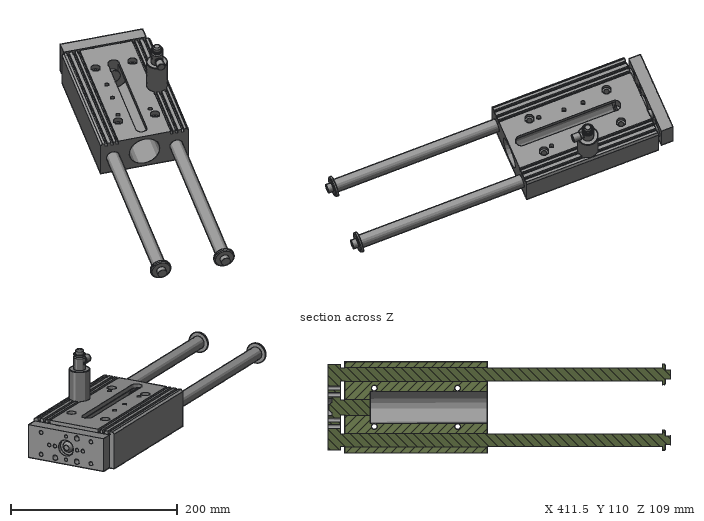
import cadquery as cq

PLATE_LENGTH = 15.2
GAP = 5.0
HOUSING_START = PLATE_LENGTH + GAP
HOUSING_LENGTH = 171.0
HOUSING_END = HOUSING_START + HOUSING_LENGTH
HOUSING_WIDTH = 110.0
HOUSING_HEIGHT = 47.0
HOUSING_CHAMFER = 2.5
AXIS_Z = HOUSING_HEIGHT / 2

GROOVE_YS = (34.0, 40.5, 47.7)
GROOVE_WIDTH = 3.0
GROOVE_DEPTH = 4.0

BORE_DIAMETER = 38.0
BORE_START = 51.0
SLOT_START = 47.5
SLOT_END = 182.7
SLOT_WIDTH = 13.5

MOUNT_CENTER_X = 105.8
MOUNT_SPACING_X = 100.0
MOUNT_SPACING_Y = 46.0
MOUNT_DIAMETER = 6.5
MOUNT_BORE_DIAMETER = 11.0
MOUNT_BORE_DEPTH = 6.0

TOP_HOLES = ((88.5, -18.0), (113.0, -18.0), (145.0, -20.0), (145.0, 20.0))
TOP_HOLE_DIAMETER = 5.0
TOP_HOLE_DEPTH = 8.2

LOCK_X = 105.8
LOCK_Y = 39.5
LOCK_BOTTOM_Z = HOUSING_HEIGHT - GROOVE_DEPTH
BARREL_DIAMETER = 25.0
BARREL_TOP_DIAMETER = 24.0
BARREL_TOP_Z = 84.5
NECK_DIAMETER = 14.5
NECK_TOP_Z = 100.5
NECK_CHAMFER = 1.2
KNOB_GROOVE_DIAMETER = 11.5
LIP_BOTTOM_Z = 103.0
LIP_THICKNESS = 0.5
CAP_DIAMETER = 10.0
CAP_TOP_DIAMETER = 6.5
CAP_TAPER_HEIGHT = 1.5
LOCK_TOP_Z = 109.0

PORT_Z = 92.0
PORT_STEM_DIAMETER = 8.0
PORT_DIAMETER = 10.0
PORT_START = 115.5
PORT_END = 125.5
PORT_CHAMFER = 0.6
SET_HOLE_DIAMETER = 3.5
SET_HOLE_DEPTH = 1.0

PLATE_WIDTH = 103.0
PLATE_BOTTOM_Z = 2.5
PLATE_HEIGHT = 42.0
GUIDE_DIAMETER = 16.0
GUIDE_Y = 39.5
PISTON_DIAMETER = 18.5
STOP_DIAMETER = 11.0
STOP_Y = 22.2
STOP_Z = 36.5

OVERALL_LENGTH = 411.5
DISC_START = 401.5
DISC_THICKNESS = 3.5
DISC_DIAMETER = 25.0
DISC_CHAMFER = 1.2
STUB_DIAMETER = 11.0

CORNER_HOLE_Y = 34.0
CORNER_HOLE_Z = 14.0
CORNER_HOLE_DIAMETER = 5.0
VERTICAL_HOLE_Z = 15.0
ROW_HOLE_YS = (15.2, 23.0)
SMALL_HOLE_DIAMETER = 4.0
ROW_HOLE_DIAMETER = 4.5
DOWEL_OFFSET = 15.0
DOWEL_DIAMETER = 6.5

RECESS_DIAMETER = 20.0
RECESS_DEPTH = 5.0
NOSE_DIAMETER = 13.5
NOSE_TIP_DIAMETER = 6.5
NOSE_LENGTH = 3.5


def rod_x(x_start, x_end, diameter, y=0.0, z=AXIS_Z):
    """Cylinder along X between two X positions."""
    return cq.Workplane("YZ", origin=(x_start, y, z)).circle(diameter / 2).extrude(x_end - x_start)


def hole_down(x, y, diameter, depth):
    """Cylinder that goes down from the housing top face."""
    return cq.Workplane("XY", origin=(x, y, HOUSING_HEIGHT)).circle(diameter / 2).extrude(-depth)


def make_block():
    """Housing block with chamfered top edges and lengthwise grooves."""
    block = (
        cq.Workplane("XY", origin=(HOUSING_START, 0, 0))
        .box(HOUSING_LENGTH, HOUSING_WIDTH, HOUSING_HEIGHT, centered=(False, True, False))
        .faces(">Z")
        .edges("|X")
        .chamfer(HOUSING_CHAMFER)
    )
    groove_z = HOUSING_HEIGHT - GROOVE_DEPTH
    for groove_y in GROOVE_YS:
        for side in (-1, 1):
            groove = cq.Workplane("XY", origin=(HOUSING_START, side * groove_y, groove_z)).box(
                HOUSING_LENGTH, GROOVE_WIDTH, GROOVE_DEPTH, centered=(False, True, False)
            )
            block = block.cut(groove)
    return block


def make_lock():
    """Stepped round locking unit with its side port."""
    lip_top_z = LIP_BOTTOM_Z + LIP_THICKNESS
    barrel_chamfer = (BARREL_DIAMETER - BARREL_TOP_DIAMETER) / 2
    profile = [
        (0, LOCK_BOTTOM_Z),
        (BARREL_DIAMETER / 2, LOCK_BOTTOM_Z),
        (BARREL_DIAMETER / 2, BARREL_TOP_Z - barrel_chamfer),
        (BARREL_TOP_DIAMETER / 2, BARREL_TOP_Z),
        (NECK_DIAMETER / 2, BARREL_TOP_Z),
        (NECK_DIAMETER / 2, NECK_TOP_Z - NECK_CHAMFER),
        (KNOB_GROOVE_DIAMETER / 2, NECK_TOP_Z),
        (KNOB_GROOVE_DIAMETER / 2, LIP_BOTTOM_Z),
        (NECK_DIAMETER / 2, LIP_BOTTOM_Z),
        (NECK_DIAMETER / 2, lip_top_z),
        (CAP_DIAMETER / 2, lip_top_z),
        (CAP_DIAMETER / 2, LOCK_TOP_Z - CAP_TAPER_HEIGHT),
        (CAP_TOP_DIAMETER / 2, LOCK_TOP_Z),
        (0, LOCK_TOP_Z),
    ]
    lock = (
        cq.Workplane("XZ", origin=(LOCK_X, LOCK_Y, 0))
        .polyline(profile)
        .close()
        .revolve(360, (0, 0), (0, 1))
    )
    stem = rod_x(LOCK_X, PORT_START, PORT_STEM_DIAMETER, LOCK_Y, PORT_Z)
    port = rod_x(PORT_START, PORT_END, PORT_DIAMETER, LOCK_Y, PORT_Z)
    port = port.faces(">X").chamfer(PORT_CHAMFER)
    set_hole = (
        cq.Workplane("XZ", origin=(LOCK_X, LOCK_Y - NECK_DIAMETER / 2, PORT_Z))
        .circle(SET_HOLE_DIAMETER / 2)
        .extrude(-SET_HOLE_DEPTH)
    )
    return lock.union(stem).union(port).cut(set_hole)


def make_housing():
    """Block and locking unit in one body, with the bores, the slot and the holes."""
    housing = make_block().union(make_lock())

    housing = housing.cut(rod_x(BORE_START, HOUSING_END, BORE_DIAMETER))
    housing = housing.cut(rod_x(HOUSING_START, BORE_START, PISTON_DIAMETER))

    for side in (-1, 1):
        housing = housing.cut(rod_x(HOUSING_START, HOUSING_END, GUIDE_DIAMETER, side * GUIDE_Y))

    slot = (
        cq.Workplane("XY", origin=((SLOT_START + SLOT_END) / 2, 0, AXIS_Z))
        .slot2D(SLOT_END - SLOT_START, SLOT_WIDTH)
        .extrude(HOUSING_HEIGHT - AXIS_Z)
    )
    housing = housing.cut(slot)

    for side_x in (-1, 1):
        for side_y in (-1, 1):
            x = MOUNT_CENTER_X + side_x * MOUNT_SPACING_X / 2
            y = side_y * MOUNT_SPACING_Y / 2
            housing = housing.cut(hole_down(x, y, MOUNT_DIAMETER, HOUSING_HEIGHT))
            housing = housing.cut(hole_down(x, y, MOUNT_BORE_DIAMETER, MOUNT_BORE_DEPTH))

    for x, y in TOP_HOLES:
        housing = housing.cut(hole_down(x, y, TOP_HOLE_DIAMETER, TOP_HOLE_DEPTH))
    return housing


def make_plate():
    """Front plate with its through holes and the recess at the piston axis."""
    plate = cq.Workplane("XY", origin=(0, 0, PLATE_BOTTOM_Z)).box(
        PLATE_LENGTH, PLATE_WIDTH, PLATE_HEIGHT, centered=(False, True, False)
    )
    holes = []
    for side in (-1, 1):
        holes.append((0, side * VERTICAL_HOLE_Z, SMALL_HOLE_DIAMETER))
        for row_y in ROW_HOLE_YS:
            holes.append((side * row_y, 0, ROW_HOLE_DIAMETER))
        for side_z in (-1, 1):
            holes.append((side * CORNER_HOLE_Y, side_z * CORNER_HOLE_Z, CORNER_HOLE_DIAMETER))
            if (side, side_z) != (1, 1):
                holes.append((side * DOWEL_OFFSET, side_z * DOWEL_OFFSET, DOWEL_DIAMETER))
    for y, dz, diameter in holes:
        plate = plate.cut(rod_x(0, PLATE_LENGTH, diameter, y, AXIS_Z + dz))
    return plate.cut(rod_x(0, RECESS_DEPTH, RECESS_DIAMETER))


def make_guide_rod(y):
    """Guide rod with a chamfered disc and a stub at its rear end."""
    disc_end = DISC_START + DISC_THICKNESS
    disc = rod_x(DISC_START, disc_end, DISC_DIAMETER, y).faces(">X").chamfer(DISC_CHAMFER)
    rod = rod_x(PLATE_LENGTH, DISC_START, GUIDE_DIAMETER, y)
    stub = rod_x(disc_end, OVERALL_LENGTH, STUB_DIAMETER, y)
    return rod.union(disc).union(stub)


def make_slide():
    """Front plate joined with the guide rods, the piston rod and the stop rod."""
    slide = make_plate()
    for side in (-1, 1):
        slide = slide.union(make_guide_rod(side * GUIDE_Y))
    slide = slide.union(rod_x(PLATE_LENGTH, BORE_START, PISTON_DIAMETER))
    slide = slide.union(rod_x(PLATE_LENGTH, HOUSING_START, STOP_DIAMETER, STOP_Y, STOP_Z))

    nose = (
        cq.Workplane("YZ", origin=(RECESS_DEPTH, 0, AXIS_Z))
        .circle(NOSE_DIAMETER / 2)
        .workplane(offset=-NOSE_LENGTH)
        .circle(NOSE_TIP_DIAMETER / 2)
        .loft()
    )
    return slide.union(nose)


housing = make_housing()
slide = make_slide()

result = cq.Compound.makeCompound([housing.val(), slide.val()])